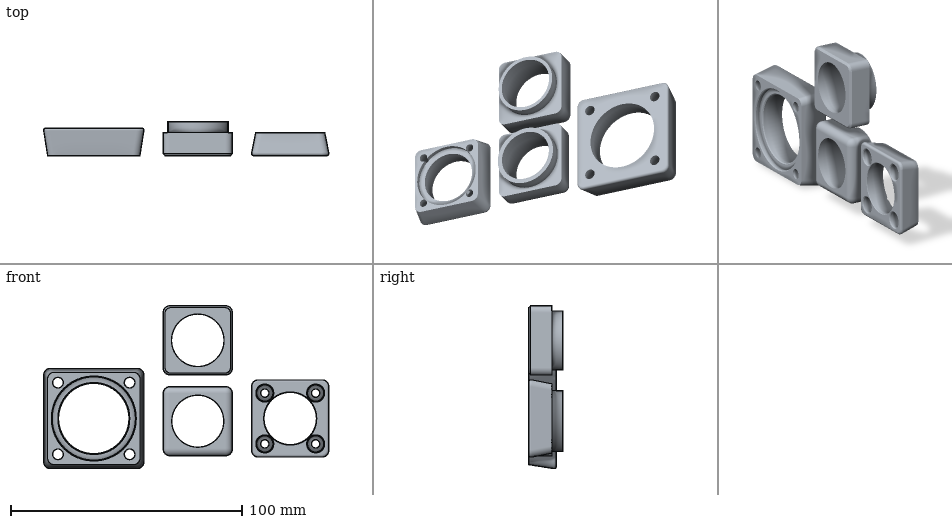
import cadquery as cq
import math

corner_radius = 3.0
rim_radius = 1.0

block_x = 45.0
rear_frame_x = 85.0
round_block_z = -1.17
block_pitch = 35.0
chamfer_block_z = round_block_z + block_pitch

front_frame_size = 40.0
front_frame_depth = 12.0
front_frame_draft = 9.0
front_bore_diameter = 30.4
front_bore_chamfer = 0.4
recess_diameter = 36.0
recess_depth = 2.0
recess_chamfer = 0.4
front_hole_diameter = 4.5
front_hole_pitch = 31.0

rear_frame_size = 30.0
rear_frame_depth = 10.0
rear_frame_draft = 11.12
rear_bore_diameter = 22.6
rear_bore_chamfer = 0.2
rear_bore_depth = 8.0
socket_diameter = 28.0
screw_diameter = 3.5
screw_pitch = 22.0
screw_head_diameter = 7.0
screw_head_depth = 5.0
screw_head_chamfer = 0.4

block_size = 30.0
block_depth = 10.0
spigot_length = 4.8
round_block_bore = 22.4
round_block_spigot = 26.4
chamfer_block_bore = 22.6
chamfer_block_spigot = 25.6
block_chamfer = 0.9


def plane_at(y):
    """XZ plane at depth y whose normal points toward +Y (local x is X, local y is -Z)."""
    return cq.Workplane(cq.Plane(origin=(0, y, 0), xDir=(1, 0, 0), normal=(0, 1, 0)))


def disc(diameter, depth, y=0.0):
    return plane_at(y).circle(diameter / 2).extrude(depth)


def flared_disc(diameter, flare, y=0.0):
    """45 degree countersink that opens toward the front, from y to y + flare."""
    mouth_radius = diameter / 2 + flare
    return plane_at(y).circle(mouth_radius).extrude(flare, taper=45)


def square_pattern(tool, pitch):
    """Copies of a tool at the four corners of a square."""
    half = pitch / 2
    copies = [tool.translate((x, 0, z)) for x in (-half, half) for z in (-half, half)]
    return cq.Workplane(cq.Compound.makeCompound([copy.val() for copy in copies]))


def tapered_plate(narrow_size, depth, draft):
    """Square plate that narrows toward +Y, rounded at its corners and around its wide face."""
    wide_size = narrow_size + 2 * depth * math.tan(math.radians(draft))
    plate = plane_at(0).rect(wide_size, wide_size).extrude(depth, taper=draft)
    plate = plate.edges("not(#Y)").fillet(corner_radius)
    return plate.faces("<Y").edges().fillet(rim_radius)


def make_front_frame():
    body = tapered_plate(front_frame_size, front_frame_depth, front_frame_draft)
    body = body.mirror("XZ").translate((0, front_frame_depth, 0))
    body = body.cut(disc(front_bore_diameter, front_frame_depth))
    body = body.cut(flared_disc(front_bore_diameter, front_bore_chamfer, recess_depth))
    body = body.cut(disc(recess_diameter, recess_depth))
    body = body.cut(flared_disc(recess_diameter, recess_chamfer))
    hole = disc(front_hole_diameter, front_frame_depth)
    return body.cut(square_pattern(hole, front_hole_pitch))


def make_rear_frame():
    body = tapered_plate(rear_frame_size, rear_frame_depth, rear_frame_draft)
    body = body.cut(disc(rear_bore_diameter, rear_frame_depth))
    body = body.cut(flared_disc(rear_bore_diameter, rear_bore_chamfer))
    body = body.cut(disc(socket_diameter, rear_frame_depth - rear_bore_depth, rear_bore_depth))
    screw_hole = disc(screw_diameter, rear_frame_depth)
    screw_hole = screw_hole.union(disc(screw_head_diameter, screw_head_depth))
    screw_hole = screw_hole.union(flared_disc(screw_head_diameter, screw_head_chamfer))
    return body.cut(square_pattern(screw_hole, screw_pitch))


def add_spigot_and_bore(block, spigot_diameter, bore_diameter):
    body = block.union(disc(spigot_diameter, spigot_length, block_depth))
    return body.cut(disc(bore_diameter, block_depth + spigot_length))


def square_block():
    return plane_at(0).rect(block_size, block_size).extrude(block_depth)


def make_round_block():
    block = square_block().edges("|Y or <Y").fillet(corner_radius)
    return add_spigot_and_bore(block, round_block_spigot, round_block_bore)


def make_chamfer_block():
    block = square_block().edges("|Y").fillet(corner_radius)
    block = block.faces("<Y").edges().chamfer(block_chamfer)
    return add_spigot_and_bore(block, chamfer_block_spigot, chamfer_block_bore)


front_frame = make_front_frame()
rear_frame = make_rear_frame().translate((rear_frame_x, 0, 0))
round_block = make_round_block().translate((block_x, 0, round_block_z))
chamfer_block = make_chamfer_block().translate((block_x, 0, chamfer_block_z))

result = cq.Compound.makeCompound(
    [front_frame.val(), rear_frame.val(), round_block.val(), chamfer_block.val()]
)